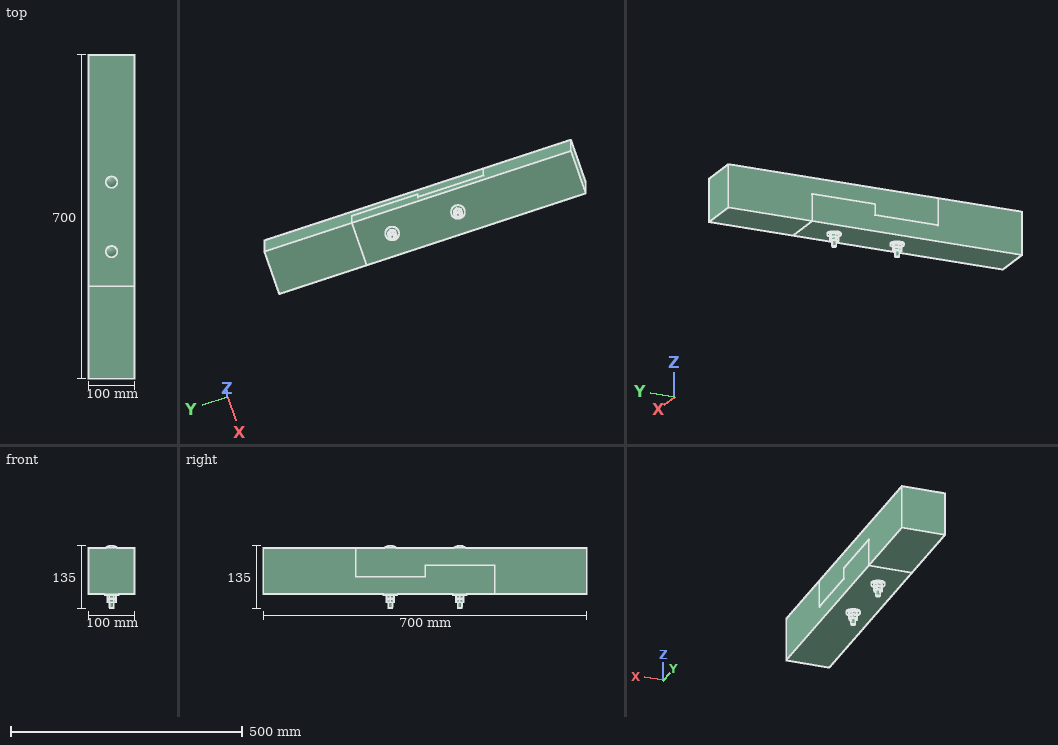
import cadquery as cq
import math

overall_length = 700.0
beam_side = 100.0
lap_length = 300.0
hook_step = 25.0
half_lap = lap_length / 2
half_length = overall_length / 2
half_side = beam_side / 2
half_step = hook_step / 2

bolt_positions_y = (-lap_length / 4, lap_length / 4)
shank_diameter = 10.0
tip_diameter = 8.5
tip_length = 3.5
bolt_projection = 30.0
head_diameter = 24.5
head_height = 5.0
head_rim = 1.0

washer_diameter = 30.0
washer_thickness = 3.0
nut_across_flats = 17.0
nut_sides = 6
nut_height = 6.0
nut_gap = 2.0
nuts_per_bolt = 2


def bolt_holes():
    """Cylinders through the beams that match the bolt shanks."""
    return (
        cq.Workplane("XY", origin=(0, 0, -half_side))
        .pushPoints([(0, y) for y in bolt_positions_y])
        .circle(shank_diameter / 2)
        .extrude(beam_side)
    )


def make_upper_beam():
    """Beam on the +Y side; its tongue lies on top and hooks downward at the tip."""
    outline = [
        (half_length, half_side),
        (-half_lap, half_side),
        (-half_lap, -half_step),
        (0, -half_step),
        (0, half_step),
        (half_lap, half_step),
        (half_lap, -half_side),
        (half_length, -half_side),
    ]
    beam = cq.Workplane("YZ").polyline(outline).close().extrude(half_side, both=True)
    return beam.cut(bolt_holes())


def make_lower_beam(upper_beam):
    """The same beam turned half a revolution about the X axis."""
    return upper_beam.rotate((0, 0, 0), (1, 0, 0), 180)


def make_bolt(y):
    """Domed-head bolt whose shank ends in a tapered tip."""
    shank_end = -half_side - bolt_projection
    rim_top = half_side + head_rim
    head_top = half_side + head_height
    dome_height = head_top - rim_top
    dome_radius = ((head_diameter / 2) ** 2 + dome_height**2) / (2 * dome_height)
    arc_height = rim_top + dome_height / 2
    arc_offset = math.sqrt(dome_radius**2 - (dome_radius - dome_height / 2) ** 2)
    return (
        cq.Workplane("XZ")
        .moveTo(0, shank_end)
        .lineTo(tip_diameter / 2, shank_end)
        .lineTo(shank_diameter / 2, shank_end + tip_length)
        .lineTo(shank_diameter / 2, half_side)
        .lineTo(head_diameter / 2, half_side)
        .lineTo(head_diameter / 2, rim_top)
        .threePointArc((arc_offset, arc_height), (0, head_top))
        .close()
        .revolve(360, (0, 0, 0), (0, 1, 0))
        .translate((0, y, 0))
    )


def make_washer(y):
    """Flat washer against the underside of the beams."""
    return (
        cq.Workplane("XY", origin=(0, y, -half_side))
        .circle(washer_diameter / 2)
        .circle(shank_diameter / 2)
        .extrude(-washer_thickness)
    )


def make_nut(y, top):
    """Hexagonal nut with two of its corners on the X axis."""
    return (
        cq.Workplane("XY", origin=(0, y, top))
        .transformed(rotate=(0, 0, 90))
        .polygon(nut_sides, nut_across_flats, circumscribed=True)
        .circle(shank_diameter / 2)
        .extrude(-nut_height)
    )


upper_beam = make_upper_beam()
lower_beam = make_lower_beam(upper_beam)

bolts = []
washers = []
nuts = []
for bolt_y in bolt_positions_y:
    bolts.append(make_bolt(bolt_y).val())
    washers.append(make_washer(bolt_y).val())
    for index in range(nuts_per_bolt):
        nut_top = -half_side - washer_thickness - index * (nut_height + nut_gap)
        nuts.append(make_nut(bolt_y, nut_top).val())

result = cq.Compound.makeCompound([upper_beam.val(), lower_beam.val(), *bolts, *washers, *nuts])